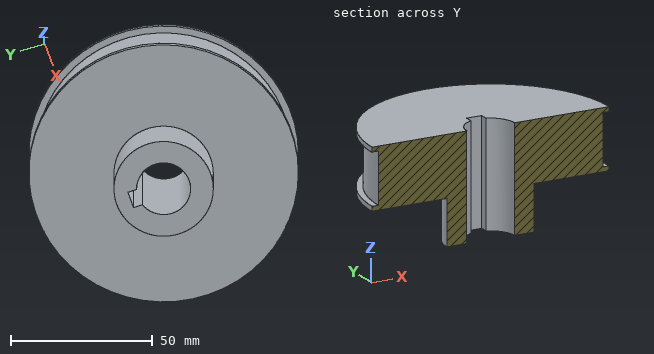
import cadquery as cq

flange_diameter = 95.0
flange_thickness = 2.0
drum_diameter = 90.0
drum_width = 20.0

hub_diameter = 35.0
hub_length = 18.0

bore_diameter = 19.0
keyway_width = 6.0
keyway_top_from_bore_bottom = 21.8

lower_flange_z = hub_length
drum_z = lower_flange_z + flange_thickness
upper_flange_z = drum_z + drum_width
total_height = upper_flange_z + flange_thickness


def disc(diameter, base_z, height):
    """Solid cylinder about the Z axis, standing on base_z."""
    return cq.Workplane("XY").workplane(offset=base_z).circle(diameter / 2).extrude(height)


def pulley_body():
    """Hub, drum and the two flanges, stacked along Z."""
    hub = disc(hub_diameter, 0, hub_length)
    lower_flange = disc(flange_diameter, lower_flange_z, flange_thickness)
    drum = disc(drum_diameter, drum_z, drum_width)
    upper_flange = disc(flange_diameter, upper_flange_z, flange_thickness)
    return hub.union(lower_flange).union(drum).union(upper_flange)


def keyed_bore():
    """Through bore with a keyway on its +Y side."""
    bore = disc(bore_diameter, 0, total_height)
    keyway_top_y = keyway_top_from_bore_bottom - bore_diameter / 2
    keyway = (
        cq.Workplane("XY")
        .center(0, keyway_top_y / 2)
        .rect(keyway_width, keyway_top_y)
        .extrude(total_height)
    )
    return bore.union(keyway)


result = pulley_body().cut(keyed_bore())